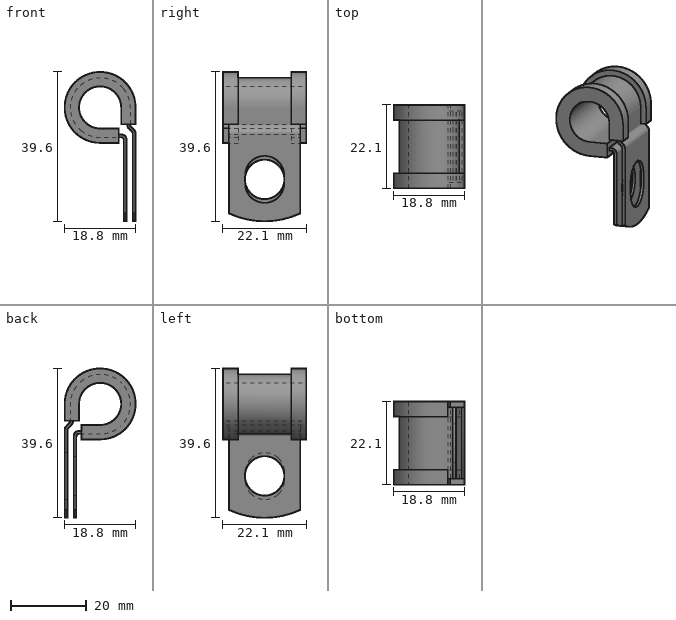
import cadquery as cq
import math

bore_radius = 5.55
cushion_radius = 9.4
cushion_width = 22.1
flange_width = 4.07
upper_end_z = -4.47
lower_end_x = 4.95

strap_thickness = 0.8
strap_radius = 7.9
strap_inner_radius = strap_radius - strap_thickness
strap_width = 18.95

outer_leg_x = 9.4
leg_gap = 1.6
inner_leg_x = outer_leg_x - strap_thickness - leg_gap
leg_bottom_z = -30.15
leg_corner_z = -28.0
hole_diameter = 10.35
slot_length = 12.42
hole_z = -19.03

lower_bend_radius = 1.45
jog_bend_radius = 1.6


def wrap(outer_radius, width):
    """Open loop from the bore to outer_radius, centred along Y."""
    diagonal = math.sqrt(0.5)
    return (
        cq.Workplane("XZ")
        .moveTo(outer_radius, upper_end_z)
        .lineTo(outer_radius, 0)
        .threePointArc((-outer_radius * diagonal, outer_radius * diagonal), (0, -outer_radius))
        .lineTo(lower_end_x, -outer_radius)
        .lineTo(lower_end_x, -bore_radius)
        .lineTo(0, -bore_radius)
        .threePointArc((-bore_radius * diagonal, bore_radius * diagonal), (bore_radius, 0))
        .lineTo(bore_radius, upper_end_z)
        .close()
        .extrude(width / 2, both=True)
    )


def inner_leg():
    """Leg that leaves the lower end of the wrap and turns down through 90 degrees."""
    inside_radius = lower_bend_radius - strap_thickness
    bend_z = -strap_inner_radius - lower_bend_radius
    bend_x = inner_leg_x - lower_bend_radius
    return (
        cq.Workplane("XZ")
        .moveTo(lower_end_x, -strap_inner_radius)
        .lineTo(bend_x, -strap_inner_radius)
        .radiusArc((inner_leg_x, bend_z), lower_bend_radius)
        .lineTo(inner_leg_x, leg_bottom_z)
        .lineTo(inner_leg_x - strap_thickness, leg_bottom_z)
        .lineTo(inner_leg_x - strap_thickness, bend_z)
        .radiusArc((bend_x, -strap_radius), -inside_radius)
        .lineTo(lower_end_x, -strap_radius)
        .close()
        .extrude(strap_width / 2, both=True)
    )


def outer_leg():
    """Leg that leaves the upper end of the wrap and jogs outward at 45 degrees."""
    inside_radius = jog_bend_radius - strap_thickness
    outside_offset = jog_bend_radius * math.sqrt(0.5)
    inside_offset = inside_radius * math.sqrt(0.5)
    first_x = strap_radius + inside_radius
    second_x = outer_leg_x - jog_bend_radius
    second_z = upper_end_z + first_x - second_x - 2 * (inside_offset + outside_offset)
    return (
        cq.Workplane("XZ")
        .moveTo(strap_radius, 0)
        .lineTo(strap_radius, upper_end_z)
        .radiusArc((first_x - inside_offset, upper_end_z - inside_offset), -inside_radius)
        .lineTo(second_x + outside_offset, second_z + outside_offset)
        .radiusArc((outer_leg_x, second_z), jog_bend_radius)
        .lineTo(outer_leg_x, leg_bottom_z)
        .lineTo(outer_leg_x - strap_thickness, leg_bottom_z)
        .lineTo(outer_leg_x - strap_thickness, second_z)
        .radiusArc((second_x + inside_offset, second_z + inside_offset), -inside_radius)
        .lineTo(first_x - outside_offset, upper_end_z - outside_offset)
        .radiusArc((strap_inner_radius, upper_end_z), jog_bend_radius)
        .lineTo(strap_inner_radius, 0)
        .close()
        .extrude(strap_width / 2, both=True)
    )


def leg_blank():
    """Flat outline of a leg with its bowed bottom edge, extruded along X."""
    half_width = strap_width / 2
    return (
        cq.Workplane("YZ")
        .moveTo(-half_width, 0)
        .lineTo(-half_width, leg_corner_z)
        .threePointArc((0, leg_bottom_z), (half_width, leg_corner_z))
        .lineTo(half_width, 0)
        .close()
        .extrude(outer_leg_x)
    )


def leg_opening():
    """Workplane centred on the bolt opening of the legs."""
    return cq.Workplane("YZ").center(0, hole_z)


recess_width = cushion_width - 2 * flange_width
flange_y = (cushion_width - flange_width) / 2
body = wrap(strap_radius, recess_width)
for side in (-1, 1):
    body = body.union(wrap(cushion_radius, flange_width).translate((0, side * flange_y, 0)))

bolt_hole = leg_opening().circle(hole_diameter / 2).extrude(outer_leg_x)
bolt_slot = leg_opening().slot2D(slot_length, hole_diameter, 90).extrude(outer_leg_x)
pierced_inner_leg = inner_leg().intersect(leg_blank()).cut(bolt_hole)
pierced_outer_leg = outer_leg().intersect(leg_blank()).cut(bolt_slot)

result = body.union(pierced_inner_leg).union(pierced_outer_leg)